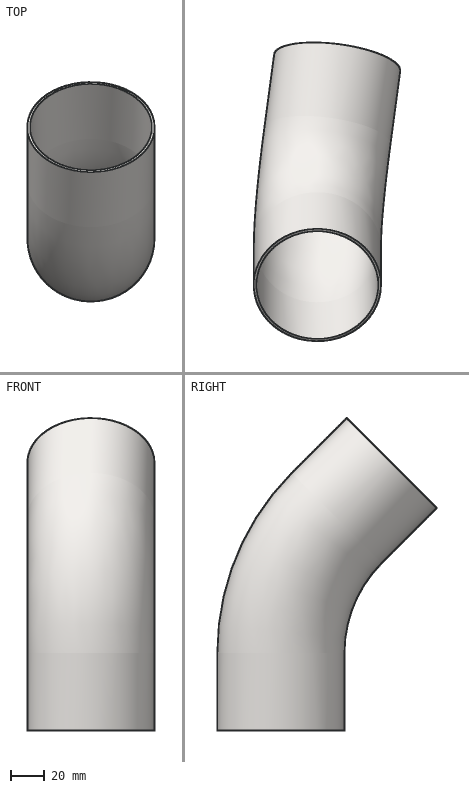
import cadquery as cq
import math

outer_diameter = 76.2
inner_diameter = 72.9
bend_radius = 114.0
bend_angle = 45.0
straight_length = 46.5

bend_radians = math.radians(bend_angle)


def point_on_bend(angle):
    """Centreline point (y, z) at an angle, in radians, into the bend."""
    y = bend_radius * (1 - math.cos(angle))
    z = straight_length + bend_radius * math.sin(angle)
    return y, z


bend_start = point_on_bend(0)
bend_middle = point_on_bend(bend_radians / 2)
bend_end = point_on_bend(bend_radians)
pipe_end = (
    bend_end[0] + straight_length * math.sin(bend_radians),
    bend_end[1] + straight_length * math.cos(bend_radians),
)

centreline = (
    cq.Workplane("YZ")
    .moveTo(0, 0)
    .lineTo(*bend_start)
    .threePointArc(bend_middle, bend_end)
    .lineTo(*pipe_end)
)

result = (
    cq.Workplane("XY")
    .circle(outer_diameter / 2)
    .circle(inner_diameter / 2)
    .sweep(centreline)
)